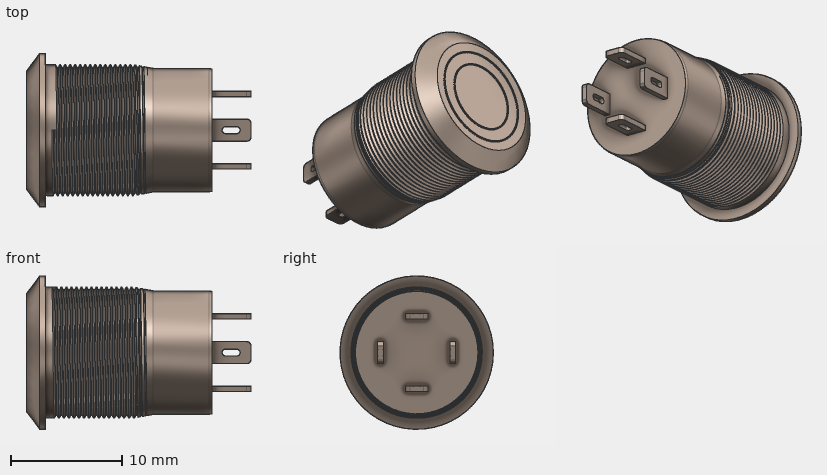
import cadquery as cq
import math

FLANGE_EDGE_X = 1.2
FLANGE_BACK_X = 1.7
TAPER_START_X = 9.6
TAPER_END_X = 11.4
BODY_END_X = 16.7
TOTAL_LENGTH = 20.2
REAR_EDGE_LENGTH = 0.3
REAR_EDGE_DROP = 0.06

FACE_DIAMETER = 10.6
FLANGE_DIAMETER = 13.8
THREAD_MAJOR_DIAMETER = 11.8
THREAD_MINOR_DIAMETER = 11.31
REAR_DIAMETER = 11.12

FACE_RINGS = [(6.3, 6.5), (8.7, 8.9)]
FACE_RING_DEPTH = 0.1

THREAD_PITCH = 0.45
THREAD_START_X = 2.48
THREAD_END_X = 11.2
FLANK_ANGLE = 60
FLANK_SLOPE = math.tan(math.radians(FLANK_ANGLE / 2))
ROOT_FLAT = THREAD_PITCH / 4
CUTTER_OVERSHOOT = 0.02

TERMINAL_COUNT = 4
TERMINAL_OFFSET = 3.25
TERMINAL_WIDTH = 2.0
TERMINAL_THICKNESS = 0.5
TERMINAL_CORNER_RADIUS = 0.4
TERMINAL_EMBED = 0.5
SLOT_LENGTH = 1.6
SLOT_WIDTH = 0.6
SLOT_CENTER_X = 18.4


def make_body():
    """Turned body along X: conical flange, thread blank with tapered run-out, plain rear barrel."""
    face_radius = FACE_DIAMETER / 2
    flange_radius = FLANGE_DIAMETER / 2
    thread_radius = THREAD_MAJOR_DIAMETER / 2
    rear_radius = REAR_DIAMETER / 2
    profile = [
        (0, 0),
        (0, face_radius),
        (FLANGE_EDGE_X, flange_radius),
        (FLANGE_BACK_X, flange_radius),
        (FLANGE_BACK_X, thread_radius),
        (TAPER_START_X, thread_radius),
        (TAPER_END_X, rear_radius),
        (BODY_END_X - REAR_EDGE_LENGTH, rear_radius),
        (BODY_END_X, rear_radius - REAR_EDGE_DROP),
        (BODY_END_X, 0),
    ]
    return cq.Workplane("XY").polyline(profile).close().revolve(360, (0, 0, 0), (1, 0, 0))


def make_face_ring(inner_diameter, outer_diameter):
    """Thin annular cutter sunk into the front face."""
    return (
        cq.Workplane("YZ")
        .circle(outer_diameter / 2)
        .circle(inner_diameter / 2)
        .extrude(FACE_RING_DEPTH)
    )


def make_thread_groove():
    """Helical trapezoid cutter whose first section lies on the +Z side of the body."""
    root_radius = THREAD_MINOR_DIAMETER / 2
    mouth_radius = THREAD_MAJOR_DIAMETER / 2 + CUTTER_OVERSHOOT
    half_root = ROOT_FLAT / 2
    half_mouth = half_root + (mouth_radius - root_radius) * FLANK_SLOPE
    length = THREAD_END_X - THREAD_START_X
    section = [
        (root_radius, -half_root),
        (root_radius, half_root),
        (mouth_radius, half_mouth),
        (mouth_radius, -half_mouth),
    ]
    helices = [
        cq.Wire.makeHelix(THREAD_PITCH, length, radius, center=cq.Vector(0, 0, offset))
        for radius, offset in section
    ]
    faces = []
    for index, helix in enumerate(helices):
        next_helix = helices[(index + 1) % len(helices)]
        faces.append(cq.Face.makeRuledSurface(helix, next_helix))
    start_corners = [helix.startPoint() for helix in helices]
    end_corners = [helix.endPoint() for helix in helices]
    for corners in (start_corners, end_corners):
        faces.append(cq.Face.makeFromWires(cq.Wire.makePolygon(corners, close=True)))
    groove = cq.Solid.makeSolid(cq.Shell.makeShell(faces)).fix()
    return (
        cq.Workplane(groove)
        .rotate((0, 0, 0), (0, 0, 1), 180)
        .rotate((0, 0, 0), (0, 1, 0), 90)
        .translate((THREAD_START_X, 0, 0))
    )


def make_terminal():
    """Flat slotted tab on the +Z side, with rounded tip corners."""
    start_x = BODY_END_X - TERMINAL_EMBED
    length = TOTAL_LENGTH - start_x
    return (
        cq.Workplane("XY")
        .workplane(offset=TERMINAL_OFFSET - TERMINAL_THICKNESS / 2)
        .center(start_x + length / 2, 0)
        .rect(length, TERMINAL_WIDTH)
        .extrude(TERMINAL_THICKNESS)
        .edges("|Z and >X")
        .fillet(TERMINAL_CORNER_RADIUS)
        .faces(">Z")
        .workplane(origin=(SLOT_CENTER_X, 0, 0))
        .slot2D(SLOT_LENGTH, SLOT_WIDTH)
        .cutThruAll()
    )


result = make_body()

for ring_inner, ring_outer in FACE_RINGS:
    result = result.cut(make_face_ring(ring_inner, ring_outer))

for index in range(TERMINAL_COUNT):
    angle = index * 360 / TERMINAL_COUNT
    result = result.union(make_terminal().rotate((0, 0, 0), (1, 0, 0), angle))

result = result.cut(make_thread_groove())
result = cq.Workplane(result.solids().val())